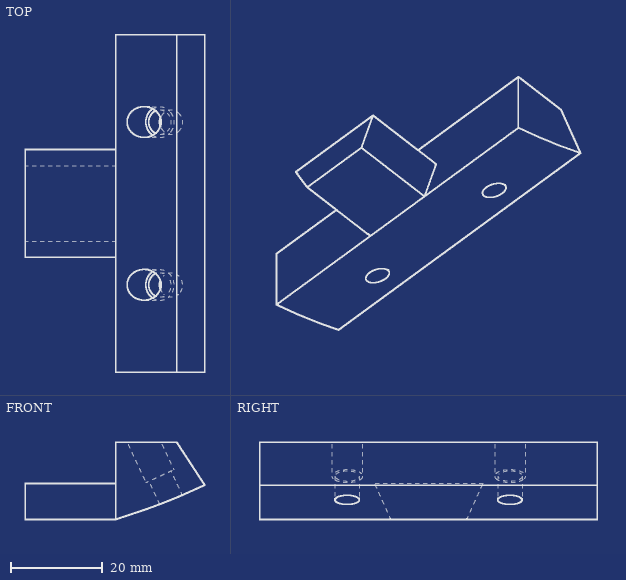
import cadquery as cq
import math

total_length = 39.2
bar_width = 73.65
bar_height = 16.9

bar_back = 19.75
top_face_length = 13.3
nose_height = 7.5
underside_bulge = 0.4

tongue_height = 7.9
tongue_top_width = 23.6
tongue_bottom_width = 16.5

hole_spacing = 35.5
hole_x = 25.9
hole_tilt = 25.0
bore_diameter = 6.7
bore_depth = 8.1
screw_diameter = 5.3
cut_overrun = 7.4


def make_bar():
    """Extrude the wedge-nosed profile with its gently bowed underside."""
    nose_run = total_length - bar_back
    underside_chord = math.hypot(nose_run, nose_height)
    bow_point = (
        bar_back + nose_run / 2 + underside_bulge * nose_height / underside_chord,
        nose_height / 2 - underside_bulge * nose_run / underside_chord,
    )
    return (
        cq.Workplane("XZ")
        .moveTo(bar_back, 0)
        .threePointArc(bow_point, (total_length, nose_height))
        .lineTo(bar_back + top_face_length, bar_height)
        .lineTo(bar_back, bar_height)
        .close()
        .extrude(bar_width / 2, both=True)
    )


def make_tongue():
    """Extrude the dovetail section from the free end to the bar."""
    return (
        cq.Workplane("YZ")
        .polyline([
            (-tongue_bottom_width / 2, 0),
            (tongue_bottom_width / 2, 0),
            (tongue_top_width / 2, tongue_height),
            (-tongue_top_width / 2, tongue_height),
        ])
        .close()
        .extrude(bar_back)
    )


def make_hole_cutter(y):
    """Build a tilted through hole with a wider bore at its upper end."""
    tilt = math.radians(hole_tilt)
    axis = cq.Vector(math.sin(tilt), 0, -math.cos(tilt))
    entry = cq.Vector(hole_x, y, bar_height)
    start = entry - axis * cut_overrun
    through_length = bar_height / math.cos(tilt) + 2 * cut_overrun
    bore = cq.Solid.makeCylinder(bore_diameter / 2, bore_depth + cut_overrun, start, axis)
    screw = cq.Solid.makeCylinder(screw_diameter / 2, through_length, start, axis)
    return bore.fuse(screw)


result = make_bar().union(make_tongue())
for side in (-1, 1):
    result = result.cut(make_hole_cutter(side * hole_spacing / 2))